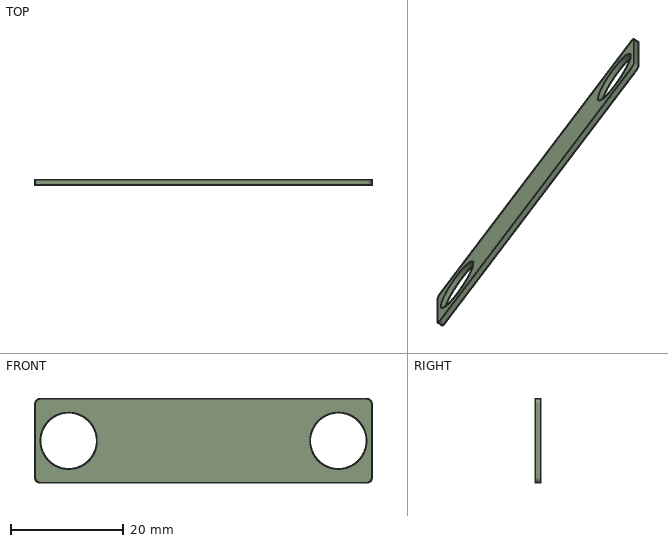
import cadquery as cq

length = 60.0
thickness = 1.0
height = 15.0
corner_radius = 1.0
hole_diameter = 10.0
hole_spacing = 48.0


def rounded_plate():
    """Flat upright plate, centred on the origin, with its four corners rounded."""
    plate = cq.Workplane("XY").box(length, thickness, height)
    return plate.edges("|Y").fillet(corner_radius)


def cut_end_holes(plate):
    """Cut one round through hole near each end of the plate."""
    hole_centres = [(-hole_spacing / 2, 0), (hole_spacing / 2, 0)]
    return plate.faces("<Y").workplane().pushPoints(hole_centres).hole(hole_diameter)


result = cut_end_holes(rounded_plate())